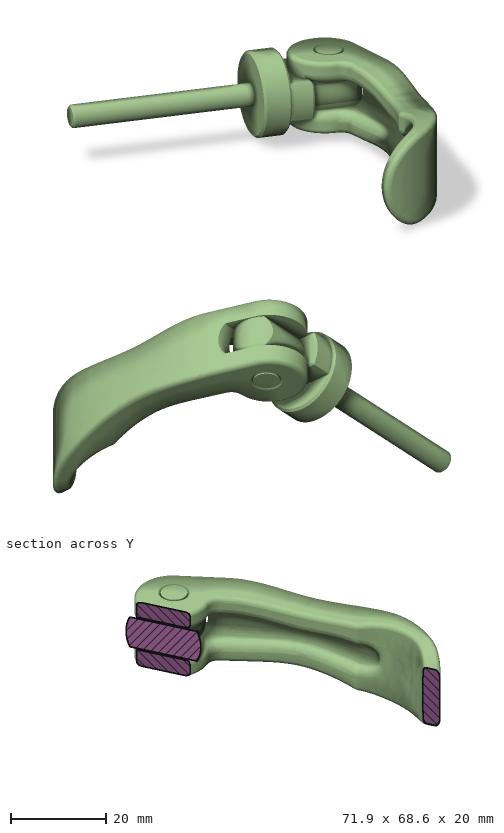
import cadquery as cq
import math


stud_radius = 2.5
stud_length = 40.0
stud_chamfer = 0.4
flange_radius = 9.25
flange_height = 6.2
flange_chamfer = 0.5
flange_bottom = -17.27
flange_top = flange_bottom + flange_height

seat_radius = 8.7
seat_half_thickness = 4.0
seat_top = -5.9
seat_chamfer = 0.4

tongue_radius = 5.5
tongue_half_thickness = 3.65
tongue_end_radius = 7.0
pin_radius = 2.8

outline_end = 63.7
cut_length = 32.0
clevis_half_width = 8.0
cam_radius = 8.0
cam_offset = 0.9
waist_start = 9.5
neck = (27.0, 6.75)
waist_end = (40.3, 8.3)
spoon_widest = 55.5
spoon_half_width = 9.995
blank_half_width = 1.2 * spoon_half_width
outer_fillet = 1.0
countersink_radius = 3.35
countersink_depth = countersink_radius - pin_radius

slope = math.radians(17)
slope_end = (7.7, 9.8)
crown_top = (24.7, 11.24)
crown_points = [crown_top, (40.3, 9.75), (51.8, 5.65), (60.9, -3.0)]
tip_direction = (0.15, -1)
tip_outer = (63.03, -9.5)
tip_inner = (59.3, -9.5)

tip_bottom = -8.75
tip_ellipse_level = 0.5
tip_start = 45.0

grip_root_angle = math.radians(12)
grip_middle = (crown_top[0], 3.75)
grip_end = (waist_end[0], 1.7)
spoon_points = [(45.5, 2.4), (53.4, -0.1)]
web_fillet = 2.5
ridge_fillet = 1.5

groove_start = 5.0
groove_length_end = 45.0
groove_root_height = 5.5
groove_floor_start = (9.0, 6.0)
groove_floor_middle = (25.0, 7.4)
groove_floor_end = (groove_length_end, 4.2)
groove_straight_end = 9.5
groove_half_width = 3.3
groove_walls = [(neck[0], 1.75), (38.5, 2.6), (groove_length_end, 0)]
groove_cut_bottom = -12.0
groove_rim_fillet = 2.0
groove_floor_fillet = 1.6

slot_half_width = 3.75


def flat_sided(radius, bottom, top, half_thickness):
    """Cylinder along Y, cut to flats at +/- half_thickness in Z."""
    height = top - bottom
    column = cq.Workplane("XZ", origin=(0, bottom, 0)).circle(radius).extrude(-height)
    slab = cq.Workplane("XY").box(2 * radius, height, 2 * half_thickness)
    return column.intersect(slab.translate((0, (bottom + top) / 2, 0)))


def pivot_cylinder(radius, half_length):
    return cq.Workplane("XY").circle(radius).extrude(half_length, both=True)


def make_stud():
    shaft = cq.Workplane("XZ", origin=(0, flange_bottom, 0)).circle(stud_radius).extrude(stud_length)
    shaft = shaft.faces("<Y").chamfer(stud_chamfer)
    flange = cq.Workplane("XZ", origin=(0, flange_bottom, 0)).circle(flange_radius).extrude(-flange_height)
    flange = flange.edges().chamfer(flange_chamfer)
    seat = flat_sided(seat_radius, flange_top, seat_top, seat_half_thickness)
    seat = seat.faces(">Y").chamfer(seat_chamfer)
    tongue = flat_sided(tongue_radius, flange_top, tongue_end_radius, tongue_half_thickness)
    rounded_end = pivot_cylinder(tongue_end_radius, tongue_half_thickness)
    below_pivot = cq.Workplane("XY").box(
        2 * tongue_radius, -flange_top, 2 * tongue_half_thickness
    ).translate((0, flange_top / 2, 0))
    tongue = tongue.intersect(rounded_end.union(below_pivot))
    pin = pivot_cylinder(pin_radius, clevis_half_width)
    return shaft.union(flange).union(seat).union(tongue).union(pin)


def cam_point(angle):
    return (cam_radius * math.cos(angle), cam_radius * math.sin(angle) - cam_offset)


def side_profile():
    slope_direction = (math.cos(slope), math.sin(slope))
    return (
        cq.Workplane("XY")
        .moveTo(*cam_point(grip_root_angle))
        .threePointArc(cam_point(-math.pi / 2), cam_point(math.pi / 2 + slope))
        .lineTo(*slope_end)
        .spline(crown_points + [tip_outer], tangents=[slope_direction, tip_direction], includeCurrent=True)
        .lineTo(*tip_inner)
        .spline(spoon_points[::-1] + [grip_end], includeCurrent=True)
        .threePointArc(grip_middle, cam_point(grip_root_angle))
        .close()
    )


def near(x, y, reach=0.1):
    """Selector for the edge along Z at the given X and Y."""
    return cq.selectors.BoxSelector((x - reach, y - reach, -reach), (x + reach, y + reach, reach))


def plan_outline():
    waist = [neck, waist_end, (spoon_widest, spoon_half_width)]
    left = -2 * cam_radius
    half = (
        cq.Workplane("XZ")
        .moveTo(left, 0)
        .lineTo(left, clevis_half_width)
        .lineTo(waist_start, clevis_half_width)
        .spline(waist, tangents=[(1, 0), (1, 0)], includeCurrent=True)
        .lineTo(outline_end, spoon_half_width)
        .lineTo(outline_end, 0)
    )
    return half.mirrorX()


def make_tip_trim():
    """Waste around the rounded spoon tip."""
    waste_depth = 2 * cam_radius
    waste = (
        cq.Workplane("YZ", origin=(tip_start, 0, 0))
        .center(tip_ellipse_level - waste_depth / 2, 0)
        .rect(waste_depth, 3 * spoon_half_width)
        .extrude(outline_end - tip_start)
    )
    rounded_tip = (
        cq.Workplane("YZ", origin=(tip_start, 0, 0))
        .center(tip_ellipse_level, 0)
        .ellipse(tip_ellipse_level - tip_bottom, spoon_half_width)
        .extrude(outline_end - tip_start)
    )
    return waste.cut(rounded_tip)


def make_groove():
    profile = (
        cq.Workplane("XY")
        .moveTo(groove_start, groove_cut_bottom)
        .lineTo(groove_start, groove_root_height)
        .lineTo(*groove_floor_start)
        .threePointArc(groove_floor_middle, groove_floor_end)
        .lineTo(groove_length_end, groove_cut_bottom)
        .close()
        .extrude(clevis_half_width, both=True)
    )
    plan = (
        cq.Workplane("XZ")
        .moveTo(groove_start, 0)
        .lineTo(groove_start, groove_half_width)
        .lineTo(groove_straight_end, groove_half_width)
        .spline(groove_walls, tangents=[(1, 0), (0, -1)], includeCurrent=True)
        .mirrorX()
        .extrude(cut_length, both=True)
    )
    floor_edges = cq.selectors.BoxSelector((20, 5, -4), (30, 9, 4))
    return profile.intersect(plan).edges(floor_edges).fillet(groove_floor_fillet)


def make_slot():
    """Slot for the tongue: a round end about the stud axis, open towards -X."""
    round_end = flat_sided(tongue_radius, -cut_length / 2, cut_length / 2, slot_half_width)
    opening = cq.Workplane("XY").box(cut_length, cut_length, 2 * slot_half_width)
    opening = opening.translate((-cut_length / 2, 0, 0))
    return round_end.union(opening)


def make_lever():
    blank = side_profile().extrude(2 * blank_half_width).translate((0, 0, -blank_half_width))
    blank = blank.edges(near(*cam_point(grip_root_angle))).fillet(web_fillet)
    blank = blank.edges(near(*grip_end)).fillet(ridge_fillet)
    lever = blank.intersect(plan_outline().extrude(cut_length, both=True))

    lever = lever.cut(make_tip_trim())

    cam_edges = cq.selectors.BoxSelector((-5, -9, -8.5), (0, 0, 8.5))
    lever = lever.edges(cam_edges).edges("%CIRCLE").fillet(outer_fillet)

    lever = lever.cut(make_groove())
    rim_edges = cq.selectors.BoxSelector((20, 2, -3.2), (30, 4, 3.2))
    lever = lever.edges(rim_edges).fillet(groove_rim_fillet)

    lever = lever.cut(make_slot())
    seat_clearance = flat_sided(seat_radius, flange_top, seat_top, seat_half_thickness)
    lever = lever.cut(seat_clearance)
    lever = lever.cut(pivot_cylinder(pin_radius, clevis_half_width))
    for side in (-1, 1):
        countersink = cq.Solid.makeCone(
            countersink_radius, pin_radius, countersink_depth,
            cq.Vector(0, 0, side * clevis_half_width), cq.Vector(0, 0, -side),
        )
        lever = lever.cut(cq.Workplane(countersink))
    return lever


stud = make_stud()
lever = make_lever()
result = cq.Compound.makeCompound([*stud.solids().vals(), *lever.solids().vals()])